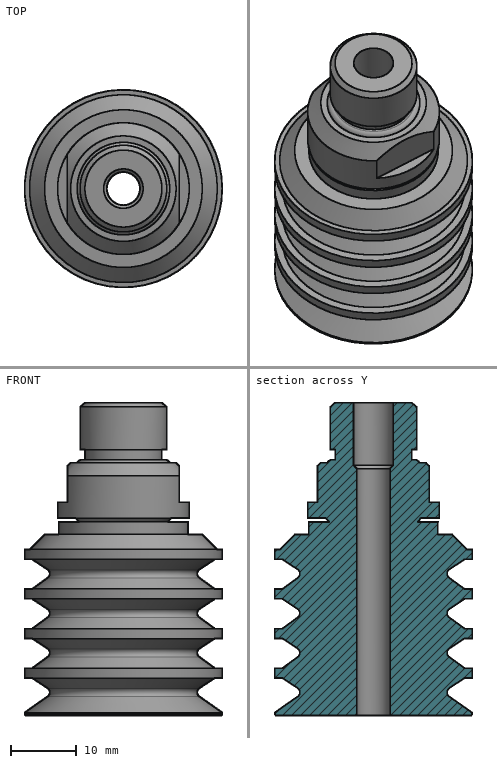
import cadquery as cq

total_height = 47.5

disc_radius = 30.0 / 2
disc_thickness = 1.5
disc_count = 4
bottom_disc_top = 7.2
top_disc_top = 25.2
disc_pitch = (top_disc_top - bottom_disc_top) / (disc_count - 1)
fold_outer_radius = 13.85
fold_inner_radius = 11.5
neck_radius = 11.2
neck_height = 1.2
upper_slope_height = 1.55
lip_height = 0.48
lip_bevel = 0.2

shoulder_base_radius = 14.25
shoulder_top_radius = 11.95
shoulder_top = 27.5
ring_radius = 19.65 / 2
ring_top = 29.4

undercut_radius = 13.5 / 2
undercut_top_radius = 7.25
body_radius = 20.0 / 2
body_bottom = 29.95
body_top = 38.4
body_chamfer = 2.0
flat_width = 17.0
flat_bottom = 32.4

collar_radius = 7.05
collar_face_radius = 6.18
collar_mid_radius = 6.75
collar_mid_height = 0.35
collar_top = 38.85
relief_radius = 11.7 / 2
relief_top = 40.38
thread_radius = 13.15 / 2
thread_chamfer_height = 0.65
thread_tip_radius = relief_radius

bore_radius = 5.0 / 2
mouth_radius = 6.0 / 2
mouth_depth = 9.5
mouth_taper_height = 0.5


def add_fold(profile, disc_top):
    """Trace, going up, one neck and the disc that sits above it."""
    disc_bottom = disc_top - disc_thickness
    neck_top = disc_bottom - upper_slope_height
    neck_bottom = neck_top - neck_height
    return (
        profile.lineTo(fold_inner_radius, neck_bottom)
        .threePointArc((neck_radius, (neck_bottom + neck_top) / 2), (fold_inner_radius, neck_top))
        .lineTo(fold_outer_radius, disc_bottom)
        .lineTo(disc_radius, disc_bottom)
        .lineTo(disc_radius, disc_top)
    )


def make_turned_body():
    """Revolve the complete outside profile about Z."""
    profile = (
        cq.Workplane("XZ")
        .moveTo(0, 0)
        .lineTo(disc_radius - lip_bevel, 0)
        .lineTo(disc_radius, lip_bevel)
        .lineTo(disc_radius, lip_height)
    )
    for index in range(disc_count):
        disc_top = bottom_disc_top + index * disc_pitch
        profile = add_fold(profile, disc_top)
        if index < disc_count - 1:
            profile = profile.lineTo(fold_outer_radius, disc_top)

    profile = (
        profile.lineTo(shoulder_base_radius, top_disc_top)
        .lineTo(shoulder_top_radius, shoulder_top)
        .lineTo(ring_radius, shoulder_top)
        .lineTo(ring_radius, ring_top)
        .lineTo(undercut_radius, ring_top)
        .lineTo(undercut_top_radius, body_bottom)
        .lineTo(body_radius, body_bottom)
        .lineTo(body_radius, body_top - body_chamfer)
        .lineTo(body_radius - body_chamfer, body_top)
        .lineTo(collar_radius, body_top)
        .threePointArc(
            (collar_mid_radius, body_top + collar_mid_height),
            (collar_face_radius, collar_top),
        )
        .lineTo(relief_radius, collar_top)
        .lineTo(relief_radius, relief_top)
        .lineTo(thread_radius, relief_top)
        .lineTo(thread_radius, total_height - thread_chamfer_height)
        .lineTo(thread_tip_radius, total_height)
        .lineTo(0, total_height)
        .close()
    )
    return profile.revolve(360, (0, 0, 0), (0, 1, 0))


def make_flat_cutter(side):
    """Block that removes the wrench flat on the +X (side=1) or -X (side=-1) side."""
    depth = body_radius
    return cq.Workplane("XY").box(
        depth, 2 * body_radius, body_top - flat_bottom, centered=(True, True, False)
    ).translate((side * (flat_width + depth) / 2, 0, flat_bottom))


def make_bore():
    """Through bore with a wider mouth that ends in a short taper."""
    mouth_bottom = total_height - mouth_depth
    return (
        cq.Workplane("XZ")
        .moveTo(0, 0)
        .lineTo(bore_radius, 0)
        .lineTo(bore_radius, mouth_bottom - mouth_taper_height)
        .lineTo(mouth_radius, mouth_bottom)
        .lineTo(mouth_radius, total_height)
        .lineTo(0, total_height)
        .close()
        .revolve(360, (0, 0, 0), (0, 1, 0))
    )


result = make_turned_body()
for side in (-1, 1):
    result = result.cut(make_flat_cutter(side))
result = result.cut(make_bore())